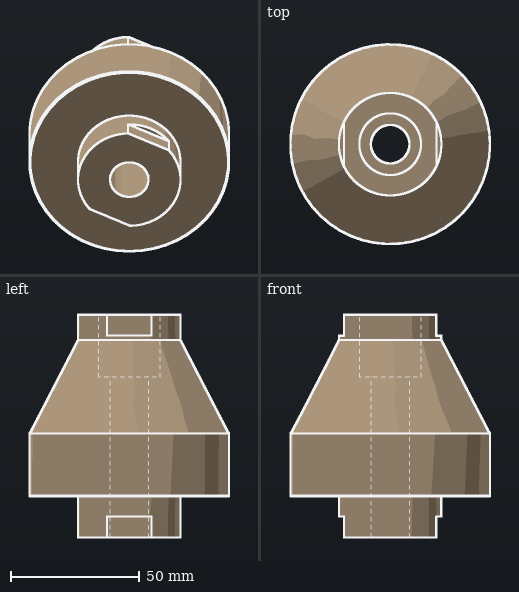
import cadquery as cq

total_height = 87.0
body_bottom = 16.0
body_top = 41.15
cone_top = 77.1

body_diameter = 78.0
collar_diameter = 40.0
through_hole_diameter = 15.0
counterbore_diameter = 24.1

counterbore_depth = 24.4

flat_width = 36.0
flat_height = 8.2

rim_bevel = 0.4

body_radius = body_diameter / 2
collar_radius = collar_diameter / 2


def turned_body():
    """Revolve the half outline: lower collar, wide body, cone, upper collar."""
    outline = [
        (0, 0),
        (collar_radius, 0),
        (collar_radius, body_bottom),
        (body_radius - rim_bevel, body_bottom),
        (body_radius, body_bottom + rim_bevel),
        (body_radius, body_top - rim_bevel),
        (body_radius - rim_bevel, body_top),
        (collar_radius, cone_top),
        (collar_radius, total_height),
        (0, total_height),
    ]
    return cq.Workplane("XZ").polyline(outline).close().revolve(360, (0, 0), (0, 1))


def flat_cutter(side, bottom):
    """Block that removes the collar beyond one flat; side is +1 or -1 along X."""
    thickness = (collar_diameter - flat_width) / 2
    center_x = side * (flat_width + thickness) / 2
    return (
        cq.Workplane("XY", origin=(center_x, 0, bottom))
        .box(thickness, collar_diameter, flat_height, centered=(True, True, False))
    )


result = turned_body()

for flat_bottom in (0, total_height - flat_height):
    for side in (-1, 1):
        result = result.cut(flat_cutter(side, flat_bottom))

result = (
    result.faces(">Z")
    .workplane(origin=(0, 0, total_height))
    .cboreHole(through_hole_diameter, counterbore_diameter, counterbore_depth)
)